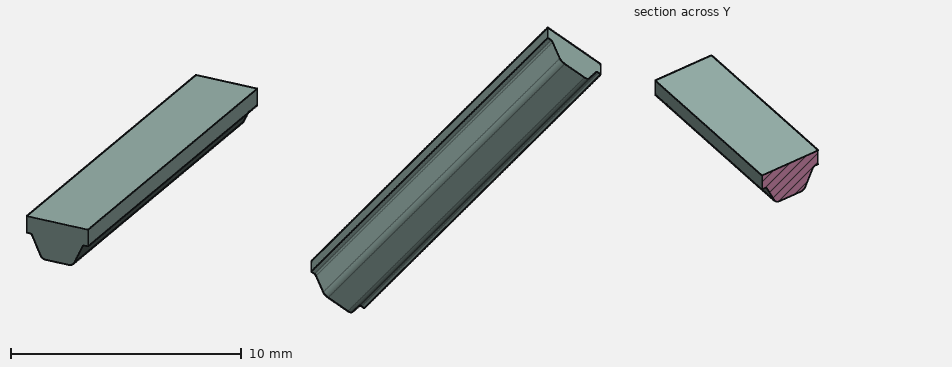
import cadquery as cq
import math

pitch = 3.0
belt_width = 16.0
total_height = 1.9
tooth_height = 1.1
tooth_tip_width = 1.5
flank_angle = 25.0
tip_radius = 0.3
root_radius = 0.1
selection_margin = 0.02

band_thickness = total_height - tooth_height
tooth_root_width = tooth_tip_width + 2 * tooth_height * math.tan(math.radians(flank_angle))


def make_band():
    """Flat backing strip, lying on Z = 0."""
    return cq.Workplane("XY").box(pitch, belt_width, band_thickness, centered=(True, True, False))


def make_tooth():
    """Trapezoidal tooth hanging below the band, narrowing towards its tip."""
    return (
        cq.Workplane("XZ")
        .polyline([
            (-tooth_root_width / 2, 0),
            (-tooth_tip_width / 2, -tooth_height),
            (tooth_tip_width / 2, -tooth_height),
            (tooth_root_width / 2, 0),
        ])
        .close()
        .extrude(belt_width / 2, both=True)
    )


def round_tooth(belt):
    """Round the two tip edges and the two root corners along the tooth."""
    belt = belt.faces("<Z").edges("|Y").fillet(tip_radius)
    root_box = cq.selectors.BoxSelector(
        (-tooth_root_width / 2 - selection_margin, -belt_width, -selection_margin),
        (tooth_root_width / 2 + selection_margin, belt_width, selection_margin),
    )
    return belt.edges("|Y").edges(root_box).fillet(root_radius)


result = round_tooth(make_band().union(make_tooth()))